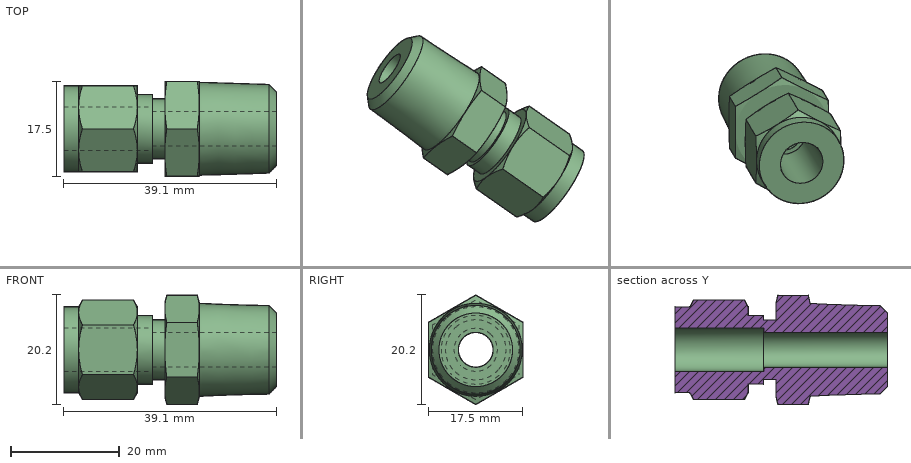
import cadquery as cq
import math

collar_length = 2.7
nut_end = 13.5
shoulder_end = 16.3
hex_start = 18.55
hex_end = 24.9
land_end = 25.35
overall_length = 39.11

nut_across_flats = 15.875
hex_across_flats = 17.46
nut_chamfer_angle = 30.0
hex_chamfer_angle = 15.0
hex_chamfer_diameter = 17.36

collar_diameter = nut_across_flats
shoulder_diameter = 12.7
neck_diameter = 11.1
taper_large_diameter = 17.12
taper_ratio = 1 / 16
end_chamfer = 1.4

tube_bore_diameter = 7.94
tube_bore_depth = shoulder_end
flow_bore_diameter = 6.35


def cylinder(start, end, diameter):
    """Solid cylinder along X between two stations."""
    plane = cq.Workplane("YZ", origin=(start, 0, 0))
    return plane.circle(diameter / 2).extrude(end - start)


def chamfered_hexagon(start, end, across_flats, face_diameter, angle):
    """Hexagonal bar whose corners are coned off at both ends.

    The cone begins at face_diameter on each end face and is inclined
    at the given angle to that face.
    """
    corner_radius = across_flats / math.sqrt(3)
    face_radius = face_diameter / 2
    setback = (corner_radius - face_radius) * math.tan(math.radians(angle))
    corners = []
    for index in range(6):
        direction = math.radians(90 + 60 * index)
        corners.append((corner_radius * math.cos(direction), corner_radius * math.sin(direction)))
    bar = cq.Workplane("YZ", origin=(start, 0, 0)).polyline(corners).close().extrude(end - start)
    envelope = (
        cq.Workplane("XY")
        .moveTo(start, 0)
        .lineTo(start, face_radius)
        .lineTo(start + setback, corner_radius)
        .lineTo(end - setback, corner_radius)
        .lineTo(end, face_radius)
        .lineTo(end, 0)
        .close()
        .revolve(360, (0, 0, 0), (1, 0, 0))
    )
    return bar.intersect(envelope)


def tapered_end():
    """Male end: short cylindrical land, tapered length and chamfered tip."""
    large_radius = taper_large_diameter / 2
    chamfer_start = overall_length - end_chamfer
    small_radius = large_radius - (chamfer_start - land_end) * taper_ratio / 2
    return (
        cq.Workplane("XY")
        .moveTo(hex_end, 0)
        .lineTo(hex_end, large_radius)
        .lineTo(land_end, large_radius)
        .lineTo(chamfer_start, small_radius)
        .lineTo(overall_length, small_radius - end_chamfer)
        .lineTo(overall_length, 0)
        .close()
        .revolve(360, (0, 0, 0), (1, 0, 0))
    )


def build_fitting():
    """Join the outer sections and cut the stepped bore through them."""
    nut = chamfered_hexagon(collar_length, nut_end, nut_across_flats, nut_across_flats, nut_chamfer_angle)
    body_hex = chamfered_hexagon(
        hex_start, hex_end, hex_across_flats, hex_chamfer_diameter, hex_chamfer_angle
    )
    outside = (
        cylinder(0, collar_length, collar_diameter)
        .union(nut)
        .union(cylinder(nut_end, shoulder_end, shoulder_diameter))
        .union(cylinder(shoulder_end, hex_start, neck_diameter))
        .union(body_hex)
        .union(tapered_end())
    )
    tube_bore = cylinder(0, tube_bore_depth, tube_bore_diameter)
    flow_bore = cylinder(0, overall_length, flow_bore_diameter)
    return outside.cut(tube_bore).cut(flow_bore)


result = build_fitting()